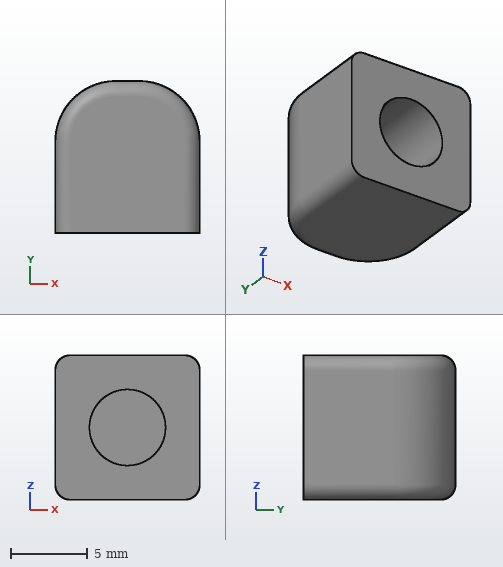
import cadquery as cq

width = 9.5
length = 10.0
end_radius = 4.0
edge_radius = 1.0
hole_diameter = 5.0

hole_depth = length - end_radius


def rounded_block():
    """Block with its flat face on Y = 0 and all edges but that face's rounded."""
    block = cq.Workplane("XY").box(width, length, width, centered=(True, False, True))
    block = block.edges("|Z and >Y").fillet(end_radius)
    return block.faces(">Z or <Z").edges("not <Y").fillet(edge_radius)


def blind_hole():
    """Cylinder entering the flat face along +Y."""
    return cq.Workplane("XZ").circle(hole_diameter / 2).extrude(-hole_depth)


result = rounded_block().cut(blind_hole())